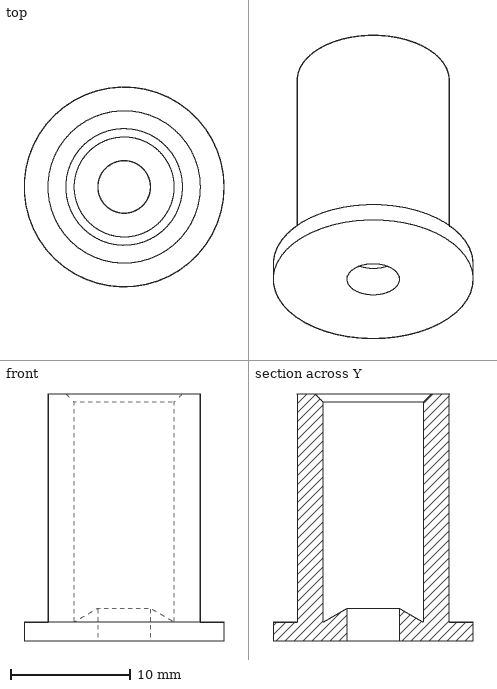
import cadquery as cq
import math

total_height = 20.76
flange_diameter = 16.8
flange_thickness = 1.6
body_diameter = 12.8

bore_diameter = 8.4
mouth_diameter = 9.8
mouth_half_angle = 45.0

through_hole_diameter = 4.4
floor_half_angle = 60.0
floor_rim_height = flange_thickness

flange_radius = flange_diameter / 2
body_radius = body_diameter / 2
bore_radius = bore_diameter / 2
mouth_radius = mouth_diameter / 2
hole_radius = through_hole_diameter / 2


def cone_height(outer_radius, inner_radius, half_angle):
    """Axial length of a cone between two radii."""
    return (outer_radius - inner_radius) / math.tan(math.radians(half_angle))


chamfer_bottom = total_height - cone_height(mouth_radius, bore_radius, mouth_half_angle)
hole_top = floor_rim_height + cone_height(bore_radius, hole_radius, floor_half_angle)

half_section = (
    cq.Workplane("XZ")
    .moveTo(hole_radius, 0)
    .lineTo(flange_radius, 0)
    .lineTo(flange_radius, flange_thickness)
    .lineTo(body_radius, flange_thickness)
    .lineTo(body_radius, total_height)
    .lineTo(mouth_radius, total_height)
    .lineTo(bore_radius, chamfer_bottom)
    .lineTo(bore_radius, floor_rim_height)
    .lineTo(hole_radius, hole_top)
    .close()
)

result = half_section.revolve(360, (0, 0, 0), (0, 1, 0))